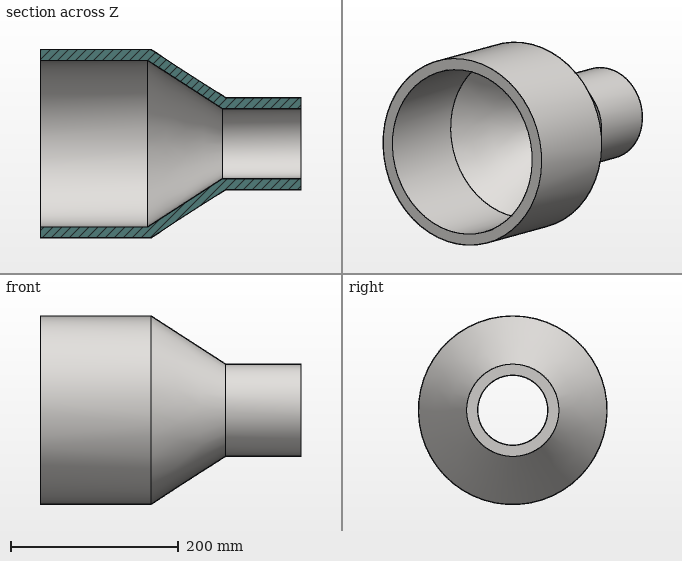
import cadquery as cq
import math

total_length = 311.0
large_length = 132.0
small_length = 90.0
large_diameter = 225.0
small_diameter = 110.0
wall = 13.4

cone_end = total_length - small_length
large_radius = large_diameter / 2
small_radius = small_diameter / 2

cone_angle = math.atan2(large_radius - small_radius, cone_end - large_length)
bore_setback = wall * math.tan(cone_angle / 2)


def reducer_solid(inset, setback):
    """Cylinder, cone and cylinder, with radii cut by inset and the cone moved back by setback."""
    half_profile = [
        (0, 0),
        (0, large_radius - inset),
        (large_length - setback, large_radius - inset),
        (cone_end - setback, small_radius - inset),
        (total_length, small_radius - inset),
        (total_length, 0),
    ]
    return cq.Workplane("XZ").polyline(half_profile).close().revolve(360, (0, 0, 0), (1, 0, 0))


outer_body = reducer_solid(0, 0)
bore = reducer_solid(wall, bore_setback)

result = outer_body.cut(bore)